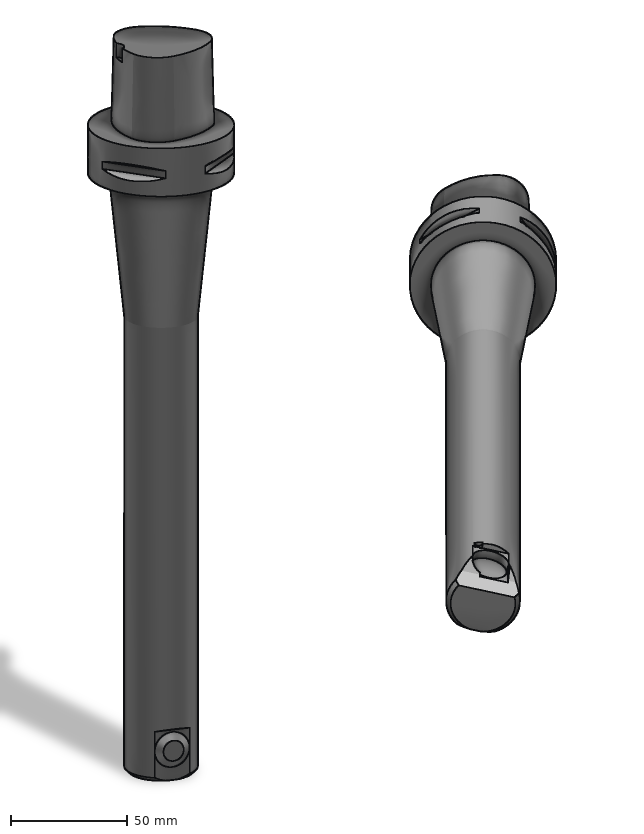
import cadquery as cq
import math

total_length = 332.0
shank_length = 38.2
flange_height = 22.0
neck_height = 2.0
cone_height = 63.0

shank_base = total_length - shank_length
flange_base = shank_base - flange_height
neck_base = flange_base - neck_height
cone_base = neck_base - cone_height

flange_diameter = 63.0
neck_diameter = 44.8
bar_diameter = 32.0
bar_radius = bar_diameter / 2
end_chamfer = 2.0

lobe_reach = 23.5
side_reach = 20.3
lobe_radius = 14.3
shank_inset = 1.0

key_radius = 4.5
key_axis_reach = 22.0
key_height = 6.3

gripper_count = 4
gripper_length = 30.0
gripper_floor_height = 3.3
gripper_wall_slope = 0.55
gripper_centre_z = shank_base - 12.0

flat_depth = 2.15
flat_reach = bar_radius - flat_depth
flat_top = 23.0
flat_ledge_rise = 1.0
clearance_top = 14.5
clearance_kink_x = -10.3
clearance_kink_z = 6.0
clearance_end_x = -6.3

cartridge_diameter = 16.0
cartridge_z = 14.0
cartridge_nose_reach = 15.5
cartridge_nose_radius = 4.5
seat_depth = 4.0
seat_x = -flat_reach + seat_depth

notch_side_y = -8.5
notch_inner_y = 4.0

coolant_diameter = 3.5
coolant_x = -15.0
coolant_y = 5.5
coolant_top = 25.2


def polar(radius, degrees):
    angle = math.radians(degrees)
    return radius * math.cos(angle), radius * math.sin(angle)


def lobed_outline(workplane, inset):
    """Closed outline of three lobe arcs joined tangentially by three flatter side arcs."""
    lobe_centre = lobe_reach - lobe_radius
    gap = side_reach - lobe_radius
    side_centre = (lobe_centre**2 - gap**2) / (2 * gap - lobe_centre)
    centre_x, centre_y = polar(lobe_centre, 210)
    lean = math.degrees(math.atan2(centre_y - side_centre, centre_x))
    seam_dx, seam_dy = polar(lobe_radius - inset, lean)
    seam_x = centre_x + seam_dx
    seam_y = centre_y + seam_dy
    seam_reach = math.hypot(seam_x, seam_y)
    half_side = math.degrees(math.atan2(-seam_x, -seam_y))

    outline = workplane.moveTo(seam_x, seam_y)
    for side_angle in (270, 30, 150):
        outline = outline.threePointArc(
            polar(side_reach - inset, side_angle), polar(seam_reach, side_angle + half_side)
        ).threePointArc(
            polar(lobe_reach - inset, side_angle + 60), polar(seam_reach, side_angle + 120 - half_side)
        )
    return outline.close()


def make_shank():
    base = lobed_outline(cq.Workplane("XY").workplane(offset=shank_base), 0)
    shank = lobed_outline(base.workplane(offset=shank_length), shank_inset).loft(ruled=True)
    key_groove = (
        cq.Workplane("XY", origin=(0, -key_axis_reach, total_length - key_height))
        .circle(key_radius)
        .extrude(key_height)
    )
    return shank.cut(key_groove)


def make_turned_body():
    return (
        cq.Workplane("XZ")
        .moveTo(0, 0)
        .lineTo(bar_radius - end_chamfer, 0)
        .lineTo(bar_radius, end_chamfer)
        .lineTo(bar_radius, cone_base)
        .lineTo(neck_diameter / 2, neck_base)
        .lineTo(neck_diameter / 2, flange_base)
        .lineTo(flange_diameter / 2, flange_base)
        .lineTo(flange_diameter / 2, shank_base)
        .lineTo(0, shank_base)
        .close()
        .revolve(360, (0, 0), (0, 1))
    )


def gripper_groove(angle):
    """Straight groove across the flange rim, with sloping walls and a flat floor."""
    rim = flange_diameter / 2
    floor_reach = math.sqrt(rim**2 - (gripper_length / 2) ** 2)
    half_floor = gripper_floor_height / 2
    half_mouth = half_floor + gripper_wall_slope * (rim - floor_reach)
    return (
        cq.Workplane("XZ", origin=(0, 0, gripper_centre_z))
        .polyline([
            (floor_reach, -half_floor),
            (rim, -half_mouth),
            (rim, half_mouth),
            (floor_reach, half_floor),
        ])
        .close()
        .extrude(gripper_length / 2, both=True)
        .rotate((0, 0, 0), (0, 0, 1), angle)
    )


def flat_cut(outward):
    """Material outside the flat on one side: outward is +1 for +X and -1 for -X."""
    return (
        cq.Workplane("XZ")
        .moveTo(outward * flat_reach, 0)
        .lineTo(outward * flat_reach, flat_top)
        .lineTo(outward * bar_radius, flat_top + flat_ledge_rise)
        .lineTo(outward * bar_radius, 0)
        .close()
        .extrude(bar_radius, both=True)
    )


def chip_clearance():
    return (
        cq.Workplane("XZ")
        .moveTo(-flat_reach, clearance_top)
        .lineTo(clearance_kink_x, clearance_kink_z)
        .lineTo(clearance_end_x, 0)
        .lineTo(-bar_radius, 0)
        .lineTo(-bar_radius, clearance_top)
        .close()
        .extrude(bar_radius, both=True)
    )


def cartridge_bore():
    return (
        cq.Workplane("YZ", origin=(-bar_radius, 0, cartridge_z))
        .circle(cartridge_diameter / 2)
        .extrude(bar_diameter)
    )


def insert_notch():
    return cq.Workplane("XY").box(
        bar_radius + seat_x, notch_inner_y - notch_side_y, cartridge_z, centered=False
    ).translate((-bar_radius, notch_side_y, 0))


def coolant_outlet():
    return (
        cq.Workplane("XY", origin=(coolant_x, coolant_y, flat_top))
        .circle(coolant_diameter / 2)
        .extrude(coolant_top - flat_top)
    )


def make_holder():
    holder = make_turned_body().union(make_shank())
    for index in range(gripper_count):
        holder = holder.cut(gripper_groove(45 + index * 360 / gripper_count))
    for outward in (-1, 1):
        holder = holder.cut(flat_cut(outward))
    return (
        holder.cut(chip_clearance())
        .cut(insert_notch())
        .cut(coolant_outlet())
        .cut(cartridge_bore())
    )


def make_cartridge():
    """Plain cylinder up to the +X flat, then a short conical nose beyond it."""
    return (
        cq.Workplane("XZ")
        .moveTo(seat_x, 0)
        .lineTo(seat_x, cartridge_diameter / 2)
        .lineTo(flat_reach, cartridge_diameter / 2)
        .lineTo(cartridge_nose_reach, cartridge_nose_radius)
        .lineTo(cartridge_nose_reach, 0)
        .close()
        .revolve(360, (0, 0), (1, 0))
        .translate((0, 0, cartridge_z))
    )


holder = make_holder()
cartridge = make_cartridge()
result = cq.Compound.makeCompound([holder.val(), cartridge.val()])